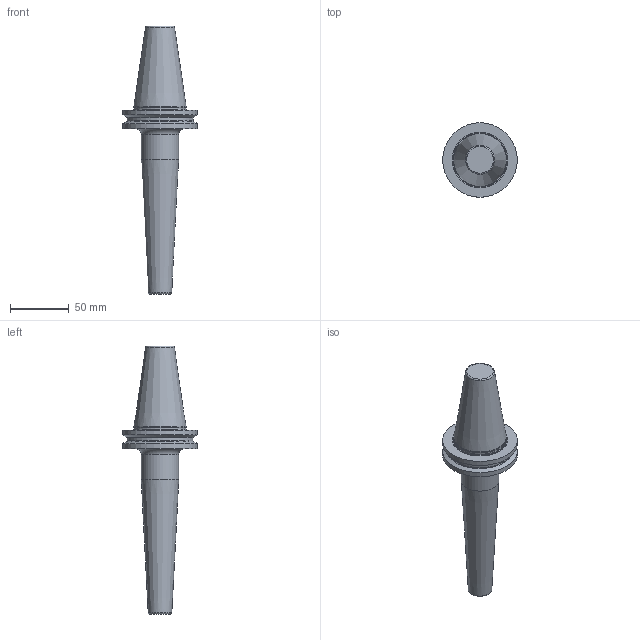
import cadquery as cq
import math

gauge_radius = 44.45 / 2
taper_length = 68.4
taper_ratio = 7 / 24
taper_top_radius = gauge_radius - taper_length * taper_ratio / 2
taper_top_fillet = 1.0

flange_radius = 63.55 / 2
flange_top = -3.2
flange_bottom = -19.1

undercut_height = 2.5
undercut_neck_depth = 0.1
undercut_runout = 0.4
undercut_face_depth = 0.1
undercut_fillet = 0.8
undercut_outer_radius = 23.7

groove_center = -11.1
groove_floor_radius = 56.25 / 2
groove_floor_width = 3.2
groove_flank_angle = 30
groove_corner_fillet = 0.8
groove_flank_height = (flange_radius - groove_floor_radius) * math.tan(math.radians(groove_flank_angle))
groove_mouth_width = groove_floor_width + 2 * groove_flank_height

shank_radius = 32 / 2
shank_fillet = 5.0
shank_cylinder_bottom = -45.3
tip_z = -160.0
tip_radius = 20 / 2
tip_fillet = 1.0


def make_taper():
    """Cone and neck, with a rounded small end."""
    return (
        cq.Workplane("XZ")
        .moveTo(0, flange_top)
        .lineTo(gauge_radius, flange_top)
        .lineTo(gauge_radius, 0)
        .lineTo(taper_top_radius, taper_length)
        .lineTo(0, taper_length)
        .close()
        .revolve(360, (0, 0, 0), (0, 1, 0))
        .faces(">Z")
        .edges()
        .fillet(taper_top_fillet)
    )


def make_flange():
    """Plain disc between the neck and the shank."""
    return (
        cq.Workplane("XY")
        .workplane(offset=flange_bottom)
        .circle(flange_radius)
        .extrude(flange_top - flange_bottom)
    )


def make_shank():
    """Cylinder flaring into the flange, cone below it, rounded tip."""
    fillet_start = flange_bottom - shank_fillet
    flare_radius = shank_radius + shank_fillet
    arc_offset = shank_fillet * (1 - math.sqrt(0.5))
    return (
        cq.Workplane("YZ")
        .moveTo(0, flange_bottom)
        .lineTo(0, tip_z)
        .lineTo(tip_radius, tip_z)
        .lineTo(shank_radius, shank_cylinder_bottom)
        .lineTo(shank_radius, fillet_start)
        .threePointArc(
            (shank_radius + arc_offset, flange_bottom - arc_offset),
            (flare_radius, flange_bottom),
        )
        .close()
        .revolve(360, (0, 0, 0), (0, 1, 0))
        .faces("<Z")
        .edges()
        .fillet(tip_fillet)
    )


def make_groove():
    """Ring that cuts the gripper groove."""
    return (
        cq.Workplane("XZ")
        .moveTo(flange_radius, groove_center - groove_mouth_width / 2)
        .lineTo(groove_floor_radius, groove_center - groove_floor_width / 2)
        .lineTo(groove_floor_radius, groove_center + groove_floor_width / 2)
        .lineTo(flange_radius, groove_center + groove_mouth_width / 2)
        .close()
        .revolve(360, (0, 0, 0), (0, 1, 0))
        .edges(cq.selectors.RadiusNthSelector(0))
        .fillet(groove_corner_fillet)
    )


def make_undercut():
    """Ring that cuts the relief into the neck and slightly into the flange face."""
    start_z = flange_top + undercut_height
    wall_radius = gauge_radius - undercut_neck_depth
    floor_z = flange_top - undercut_face_depth
    arc_offset = undercut_fillet * (1 - math.sqrt(0.5))
    return (
        cq.Workplane("XZ")
        .moveTo(gauge_radius, start_z)
        .lineTo(wall_radius, start_z - undercut_runout)
        .lineTo(wall_radius, floor_z + undercut_fillet)
        .threePointArc(
            (wall_radius + arc_offset, floor_z + arc_offset),
            (wall_radius + undercut_fillet, floor_z),
        )
        .lineTo(undercut_outer_radius, flange_top)
        .lineTo(undercut_outer_radius, start_z)
        .close()
        .revolve(360, (0, 0, 0), (0, 1, 0))
    )


body = make_taper().union(make_flange()).union(make_shank())
result = body.cut(make_groove()).cut(make_undercut())